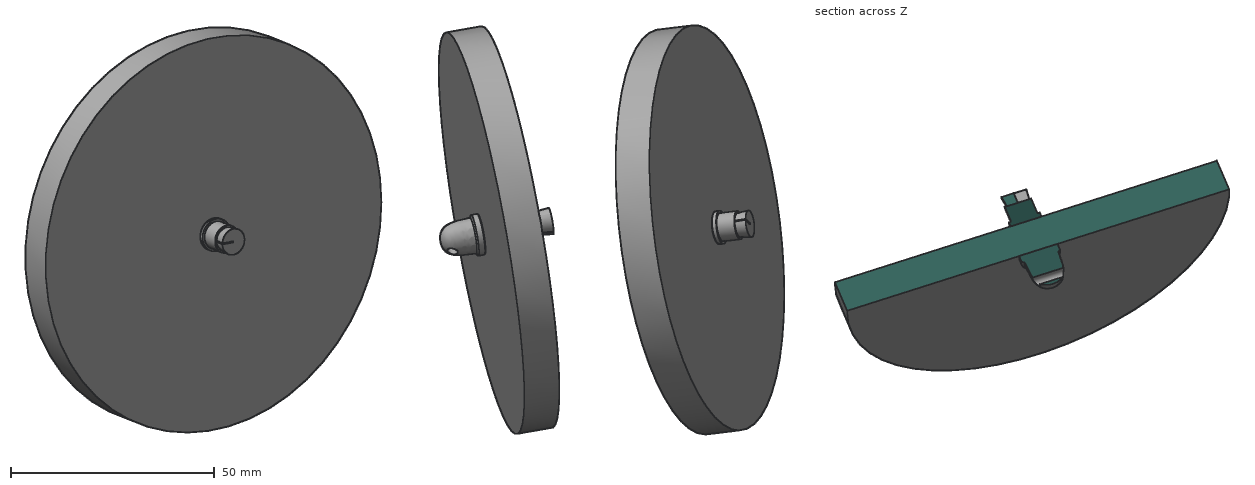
import cadquery as cq


disc_diameter = 100.0
disc_thickness = 8.8

spinner_length = 10.3
spinner_axis_z = -0.4
spinner_flange_radius = 5.1
spinner_flange_thickness = 1.7
spinner_flange_edge_chamfer = 0.2
shoulder_length = 0.4
dome_base_radius = 4.5
nose_radius = 4.2
cross_hole_diameter = 2.4
cross_hole_from_tip = 2.3

collar_flange_radius = 4.1
collar_flange_thickness = 1.2
collar_flange_chamfer = 0.2
barrel_radius = 3.5
barrel_length = 4.5

collet_root_radius = 3.0
collet_end_radius = 3.3
collet_length = 2.9
collet_slit_width = 0.3

spinner_tip_x = -spinner_length
nose_end_x = spinner_tip_x + nose_radius
spinner_flange_x = -spinner_flange_thickness
collar_start_x = disc_thickness
collet_start_x = collar_start_x + collar_flange_thickness + barrel_length


def cylinder(start_x, radius, length):
    """Solid cylinder along +X, centred on the X axis."""
    return cq.Workplane("YZ", origin=(start_x, 0, 0)).circle(radius).extrude(length)


def make_disc():
    return cylinder(0, disc_diameter / 2, disc_thickness)


def make_spinner():
    dome_base_x = spinner_flange_x - shoulder_length
    dome_flare = (dome_base_radius - nose_radius) / (dome_base_x - nose_end_x)
    body = (
        cq.Workplane("XY")
        .moveTo(spinner_tip_x, 0)
        .spline(
            [(nose_end_x, nose_radius), (dome_base_x, dome_base_radius)],
            tangents=[(0, 1), (1, dome_flare)],
            includeCurrent=True,
        )
        .lineTo(spinner_flange_x, spinner_flange_radius)
        .lineTo(-spinner_flange_edge_chamfer, spinner_flange_radius)
        .lineTo(0, spinner_flange_radius - spinner_flange_edge_chamfer)
        .lineTo(0, 0)
        .close()
        .revolve(360, (0, 0, 0), (1, 0, 0))
    )
    cross_hole = (
        cq.Workplane("XZ")
        .center(spinner_tip_x + cross_hole_from_tip, 0)
        .circle(cross_hole_diameter / 2)
        .extrude(spinner_flange_radius, both=True)
    )
    return body.cut(cross_hole).translate((0, 0, spinner_axis_z))


def make_collar():
    flange = cylinder(collar_start_x, collar_flange_radius, collar_flange_thickness)
    flange = flange.faces("<X").chamfer(collar_flange_chamfer)
    barrel = cylinder(collar_start_x + collar_flange_thickness, barrel_radius, barrel_length)
    return flange.union(barrel)


def make_collet():
    body = cq.Workplane(
        cq.Solid.makeCone(
            collet_root_radius,
            collet_end_radius,
            collet_length,
            pnt=cq.Vector(collet_start_x, 0, 0),
            dir=cq.Vector(1, 0, 0),
        )
    )
    slit = cq.Workplane("XY").box(
        collet_length,
        collet_end_radius,
        collet_slit_width,
        centered=(False, False, True),
    )
    return body.cut(slit.translate((collet_start_x, -collet_end_radius, 0)))


disc = make_disc()
spinner = make_spinner()
collar = make_collar()
collet = make_collet()

result = cq.Compound.makeCompound([disc.val(), spinner.val(), collar.val(), collet.val()])